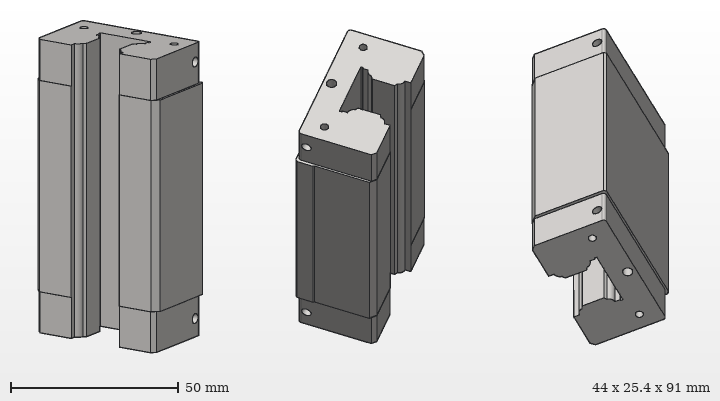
import cadquery as cq
import math

LENGTH = 91.0
WIDTH = 44.0
HEIGHT = 25.4
FRONT = -HEIGHT / 2
BACK = HEIGHT / 2

BODY_BACK_CHAMFER = 0.6
BODY_FOOT_HALF_WIDTH = 20.0
DATUM_LIP_HEIGHT = 5.8
DATUM_LIP_STEP = 0.3

CAP_LENGTH = 12.7
CAP_HALF_WIDTH = 21.1
CAP_BACK = BACK - 0.6
CAP_FRONT = FRONT + 0.1
CAP_BACK_FILLET = 1.0
CAP_FRONT_CHAMFER = 1.3

CHANNEL_FLOOR = BACK - 9.2
FLOOR_HALF_WIDTH = 9.0
FLOOR_RELIEF = 0.7
MOUTH_HALF_WIDTH = 8.6
WAIST_HALF_WIDTH = 5.9
WAIST_LENGTH = 7.1
RACE_CENTER = BACK - 17.6
RACE_RADIUS = 2.0
RACE_X = 8.8
RACE_OFFSET = 3.9
RACE_START_OFFSET = 4.2

OIL_DIAMETER = 3.0
OIL_Y = BACK - 3.3
OIL_DEPTH = 5.7
SCREW_DIAMETER = 2.4
SCREW_X = 16.2
SCREW_Y = BACK - 7.2
SCREW_DEPTH = 7.3
DRILL_POINT_ANGLE = 118.0


def make_body():
    """Middle block with a raised datum lip on its -X side."""
    half = WIDTH / 2
    recessed = half - DATUM_LIP_STEP
    lip_end = BACK - DATUM_LIP_HEIGHT
    foot = BODY_FOOT_HALF_WIDTH
    shoulder = FRONT + half - foot
    recessed_shoulder = FRONT + recessed - foot
    outline = [
        (-foot, FRONT),
        (foot, FRONT),
        (half, shoulder),
        (half, BACK - BODY_BACK_CHAMFER),
        (half - BODY_BACK_CHAMFER, BACK),
        (-half + BODY_BACK_CHAMFER, BACK),
        (-half, BACK - BODY_BACK_CHAMFER),
        (-half, lip_end),
        (-recessed, lip_end - DATUM_LIP_STEP),
        (-recessed, recessed_shoulder),
    ]
    body_length = LENGTH - 2 * CAP_LENGTH
    return cq.Workplane("XY").polyline(outline).close().extrude(body_length / 2, both=True)


def make_caps():
    """One block over the full length; its two ends stand out of the body as caps."""
    depth = CAP_BACK - CAP_FRONT
    block = cq.Workplane("XY").box(2 * CAP_HALF_WIDTH, depth, LENGTH)
    block = block.translate((0, CAP_FRONT + depth / 2, 0))
    block = block.edges("|Z and >Y").fillet(CAP_BACK_FILLET)
    return block.edges("|Z and <Y").chamfer(CAP_FRONT_CHAMFER)


def make_channel():
    """Rail channel: wide at the floor, narrowed by two rounded ball races on each side."""
    start_rise = RACE_START_OFFSET - RACE_OFFSET
    end_run = RACE_X - MOUTH_HALF_WIDTH
    diagonal = RACE_RADIUS / math.sqrt(2)
    inner = (RACE_X - math.sqrt(RACE_RADIUS**2 - start_rise**2), RACE_START_OFFSET)
    middle = (RACE_X - diagonal, RACE_OFFSET + diagonal)
    outer = (MOUTH_HALF_WIDTH, RACE_OFFSET + math.sqrt(RACE_RADIUS**2 - end_run**2))

    def front(point):
        return (point[0], RACE_CENTER - point[1])

    def back(point):
        return (point[0], RACE_CENTER + point[1])

    half = (
        cq.Workplane("XY")
        .moveTo(0, CHANNEL_FLOOR)
        .lineTo(FLOOR_HALF_WIDTH, CHANNEL_FLOOR)
        .lineTo(FLOOR_HALF_WIDTH, CHANNEL_FLOOR - FLOOR_RELIEF)
        .lineTo(MOUTH_HALF_WIDTH, CHANNEL_FLOOR - FLOOR_RELIEF)
        .lineTo(*back(outer))
        .threePointArc(back(middle), back(inner))
        .lineTo(WAIST_HALF_WIDTH, RACE_CENTER + WAIST_LENGTH / 2)
        .lineTo(WAIST_HALF_WIDTH, RACE_CENTER - WAIST_LENGTH / 2)
        .lineTo(*front(inner))
        .threePointArc(front(middle), front(outer))
        .lineTo(MOUTH_HALF_WIDTH, FRONT)
        .lineTo(0, FRONT)
        .close()
        .extrude(LENGTH / 2, both=True)
    )
    return half.union(half.mirror("YZ"))


def make_screw_hole(x):
    """Blind drilled hole with a conical point, entering the top end."""
    radius = SCREW_DIAMETER / 2
    point_length = radius / math.tan(math.radians(DRILL_POINT_ANGLE / 2))
    wall_end = LENGTH / 2 - SCREW_DEPTH
    section = [
        (0, LENGTH / 2),
        (radius, LENGTH / 2),
        (radius, wall_end),
        (0, wall_end - point_length),
    ]
    hole = cq.Workplane("XZ").polyline(section).close().revolve(360, (0, 0, 0), (0, 1, 0))
    return hole.translate((x, SCREW_Y, 0))


def make_end_holes():
    """Holes of the top cap: a cross bore, the oil hole that meets it, and two screw holes."""
    bore_z = LENGTH / 2 - OIL_DEPTH
    radius = OIL_DIAMETER / 2
    cross_bore = cq.Workplane("YZ").center(OIL_Y, bore_z).circle(radius).extrude(WIDTH / 2, both=True)
    oil_hole = cq.Workplane("XY", origin=(0, OIL_Y, bore_z)).circle(radius).extrude(OIL_DEPTH)
    holes = cross_bore.union(oil_hole)
    for x in (-SCREW_X, SCREW_X):
        holes = holes.union(make_screw_hole(x))
    return holes


top_holes = make_end_holes()
bottom_holes = top_holes.mirror("XY")

result = make_body().union(make_caps()).cut(make_channel()).cut(top_holes).cut(bottom_holes)